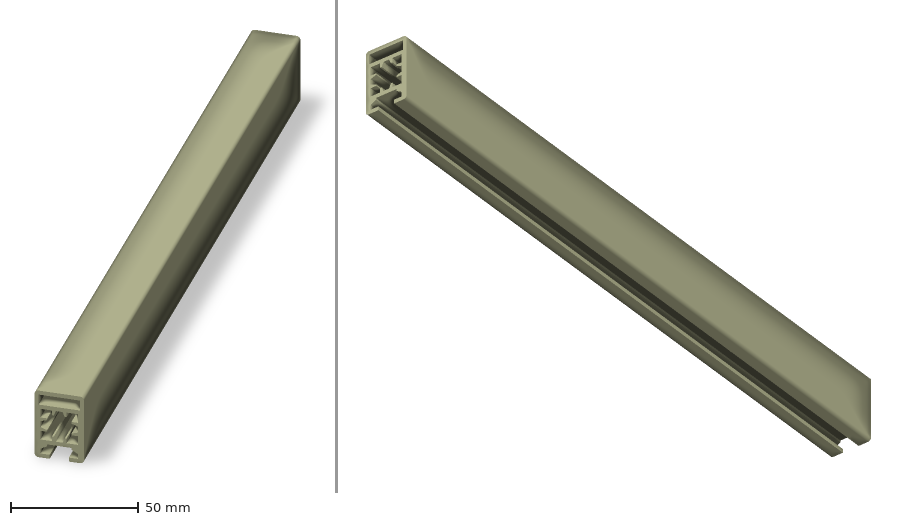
import cadquery as cq

width = 20.0
length = 300.0
height = 30.0
corner_radius = 1.5
skin = 1.8

slot_width = 16.8
slot_floor = 23.7

chamber_width = 15.3
chamber_top = slot_floor - skin
chamber_bottom = 8.0
chamber_middle = (chamber_top + chamber_bottom) / 2
chamber_half_height = (chamber_top - chamber_bottom) / 2
tooth_length = 2.7
tooth_tip_width = 0.75
tooth_root_width = 1.65
vertical_tooth_offset = 3.0
vertical_tooth_length = 2.0
side_tooth_offset = 3.0

channel_top = chamber_bottom - skin
channel_width = chamber_width
channel_roof_width = 10.2
channel_shoulder = 4.0
channel_roof_step = 1.0
mouth_width = 7.8


def prism(points):
    """Extrude an XZ outline over the whole rail length."""
    return cq.Workplane("XZ").polyline(points).close().extrude(length / 2, both=True)


def bar(bar_width, bottom, top):
    """A full-length rectangular bar centred on X."""
    bar_height = top - bottom
    return cq.Workplane("XY").box(bar_width, length, bar_height).translate((0, 0, bottom + bar_height / 2))


def web_tooth(side, end):
    """A tooth on the chamber's floor (end -1) or ceiling (end 1)."""
    root = chamber_middle + end * chamber_half_height
    tip = root - end * vertical_tooth_length
    outer = side * vertical_tooth_offset
    return prism([
        (outer, root),
        (outer, tip),
        (outer - side * tooth_tip_width, tip),
        (outer - side * tooth_root_width, root),
    ])


def wall_tooth(side, end):
    """A tooth on a side wall, below (end -1) or above (end 1) the chamber's middle."""
    root = side * chamber_width / 2
    tip = root - side * tooth_length
    outer = chamber_middle + end * side_tooth_offset
    return prism([
        (root, outer),
        (tip, outer),
        (tip, outer - end * tooth_tip_width),
        (root, outer - end * tooth_root_width),
    ])


def lower_channel():
    """The stepped channel that opens downwards between two lips."""
    right = [
        (mouth_width / 2, 0),
        (mouth_width / 2, skin),
        (channel_width / 2, skin),
        (channel_width / 2, channel_shoulder),
        (channel_roof_width / 2, channel_top - channel_roof_step),
        (channel_roof_width / 2, channel_top),
    ]
    left = [(-x, z) for x, z in reversed(right)]
    return prism(right + left)


body = bar(width, 0, height).edges("|Y").fillet(corner_radius)
body = body.cut(bar(slot_width, slot_floor, height - skin))
body = body.cut(bar(chamber_width, chamber_bottom, chamber_top))
body = body.cut(lower_channel())

for side in (-1, 1):
    for end in (-1, 1):
        body = body.union(web_tooth(side, end))
        body = body.union(wall_tooth(side, end))

result = body